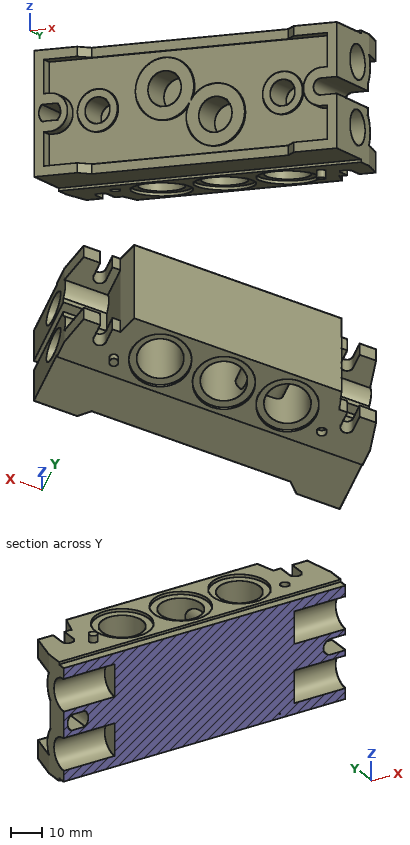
import cadquery as cq


length = 106.0
depth = 42.0
front_height = 41.2
rear_height = 43.0
height_over_pins = 48.0
rear_start = 18.9

rear_half_width = 35.9
neck_half_width = 38.0
ear_rear = 35.4
ear_tip_half_width = 50.7
ear_taper_start = 25.0
relief_depth = 3.5
relief_half_width = 34.5

ear_thickness = 6.7
ear_slot_x = 42.8
ear_slot_width = 4.2
ear_slot_centre_y = 30.1
pocket_height = rear_height - 2 * ear_thickness
pocket_floor = 24.3

end_port_diameter = 11.7
end_port_y = 16.1
end_port_z = 10.7
end_port_depth = 19.1
port_wall_radius = 9.9

tray_length = 99.2
tray_height = 34.8
tray_floor = 4.2
boss_top = relief_depth

main_ports = [(-8.9, 5.0), (8.9, -5.0)]
main_boss_diameter = 20.5
main_port_diameter = 11.7
pilot_ports = [(-32.4, 0), (32.4, 0)]
pilot_boss_diameter = 14.0
pilot_port_diameter = 8.7
front_port_depth = 15.9

mount_x = 47.6
mount_pad_radius = 6.3
mount_slot_width = 5.5
mount_hole_diameter = 7.6

bore_pitch = 22.0
bore_y = 30.4
bore_diameter = 15.0
seat_diameter = 20.0
seat_depth = 1.1

bar_head_x = 9.4
bar_head_z = 13.8
bar_head_diameter = 8.7
bar_arm_end = 21.6
bar_arm_height = 7.1
bar_arm_z = 12.2
bar_start = 27.9
bar_end = 40.3

pin_x = 36.0
pin_y = 25.4
pin_diameter = 3.0
pin_length = (height_over_pins - rear_height) / 2
socket_diameter = 3.2
socket_depth = 3.2


def box(x0, x1, y0, y1, height):
    """Box between two x and two y places, centred on z = 0."""
    return cq.Workplane("XY").box(x1 - x0, y1 - y0, height).translate(((x0 + x1) / 2, (y0 + y1) / 2, 0))


def rod_y(x, z, diameter, y0, y1):
    """Cylinder along Y between two y places."""
    return cq.Workplane("XZ", origin=(x, y0, z)).circle(diameter / 2).extrude(y0 - y1)


def rod_z(x, y, diameter, z0, z1):
    """Cylinder along Z between two z places."""
    return cq.Workplane("XY", origin=(x, y, z0)).circle(diameter / 2).extrude(z1 - z0)


def make_body():
    half = length / 2
    right_side = [
        (relief_half_width, relief_depth),
        (relief_half_width + relief_depth, 0),
        (half, 0),
        (half, ear_taper_start),
        (ear_tip_half_width, ear_rear),
        (neck_half_width, ear_rear),
        (rear_half_width, depth),
    ]
    left_side = [(-x, y) for x, y in reversed(right_side)]
    body = cq.Workplane("XY").polyline(right_side + left_side).close().extrude(rear_height / 2, both=True)
    lip = (rear_height - front_height) / 2
    for side in (-1, 1):
        shave = cq.Workplane("XY").box(length, rear_start, lip)
        body = body.cut(shave.translate((0, rear_start / 2, side * (front_height + lip) / 2)))
    return body


def make_end_pocket(side):
    x0, x1 = sorted((side * neck_half_width, side * length / 2))
    return box(x0, x1, pocket_floor, depth, pocket_height)


def make_port_walls(side):
    """Parts of the round port walls that stand above the pocket floor."""
    x0, x1 = sorted((side * neck_half_width, side * length / 2))
    walls = cq.Workplane("YZ", origin=(x0, end_port_y, 0)).pushPoints([(0, -end_port_z), (0, end_port_z)])
    return walls.circle(port_wall_radius).extrude(x1 - x0).intersect(make_end_pocket(side))


def make_ear_slot(side):
    x = side * ear_slot_x
    half_width = ear_slot_width / 2
    slot = box(x - half_width, x + half_width, ear_slot_centre_y, depth, rear_height)
    return slot.union(rod_z(x, ear_slot_centre_y, ear_slot_width, -rear_height / 2, rear_height / 2))


def make_tray():
    tray = box(-tray_length / 2, tray_length / 2, 0, tray_floor, tray_height)
    for x, z in main_ports:
        tray = tray.cut(rod_y(x, z, main_boss_diameter, boss_top, tray_floor))
    for x, z in pilot_ports:
        tray = tray.cut(rod_y(x, z, pilot_boss_diameter, boss_top, tray_floor))
    for side in (-1, 1):
        x0, x1 = sorted((side * mount_x, side * length / 2))
        tray = tray.cut(rod_y(side * mount_x, 0, 2 * mount_pad_radius, 0, tray_floor))
        tray = tray.cut(box(x0, x1, 0, tray_floor, 2 * mount_pad_radius))
    return tray


def make_valve_bore(x):
    top = rear_height / 2
    bore = rod_z(x, bore_y, bore_diameter, -top, top)
    bore = bore.union(rod_z(x, bore_y, seat_diameter, top - seat_depth, top))
    return bore.union(rod_z(x, bore_y, seat_diameter, -top, seat_depth - top))


def make_bar(side):
    tip_x = side * (bar_arm_end - bar_arm_height / 2)
    x0, x1 = sorted((side * bar_head_x, tip_x))
    arm = box(x0, x1, bar_start, bar_end, bar_arm_height).translate((0, 0, side * bar_arm_z))
    tip = rod_y(tip_x, side * bar_arm_z, bar_arm_height, bar_start, bar_end)
    head = rod_y(side * bar_head_x, side * bar_head_z, bar_head_diameter, bar_start, bar_end)
    return arm.union(tip).union(head)


body = make_body()
body = body.cut(make_tray())

for side in (-1, 1):
    body = body.cut(make_end_pocket(side))
    body = body.union(make_port_walls(side))
    body = body.cut(make_ear_slot(side))
    for z in (-end_port_z, end_port_z):
        face = cq.Workplane("YZ", origin=(side * length / 2, end_port_y, z))
        body = body.cut(face.circle(end_port_diameter / 2).extrude(-side * end_port_depth))

for x, z in main_ports:
    body = body.cut(rod_y(x, z, main_port_diameter, 0, front_port_depth))
for x, z in pilot_ports:
    body = body.cut(rod_y(x, z, pilot_port_diameter, 0, front_port_depth))

mount_hole = rod_y(-mount_x, 0, mount_hole_diameter, 0, depth)
mount_flats = box(-length / 2, 0, 0, depth, mount_slot_width)
body = body.cut(mount_hole.intersect(mount_flats))

body = body.cut(rod_y(mount_x, 0, mount_slot_width, 0, depth))
body = body.cut(box(mount_x, length / 2, 0, depth, mount_slot_width))

for x in (-bore_pitch, 0, bore_pitch):
    body = body.cut(make_valve_bore(x))
for side in (-1, 1):
    body = body.union(make_bar(side))

for side in (-1, 1):
    surface = side * rear_height / 2
    body = body.cut(rod_z(side * pin_x, pin_y, socket_diameter, surface - side * socket_depth, surface))
    body = body.union(rod_z(-side * pin_x, pin_y, pin_diameter, surface, surface + side * pin_length))

result = body